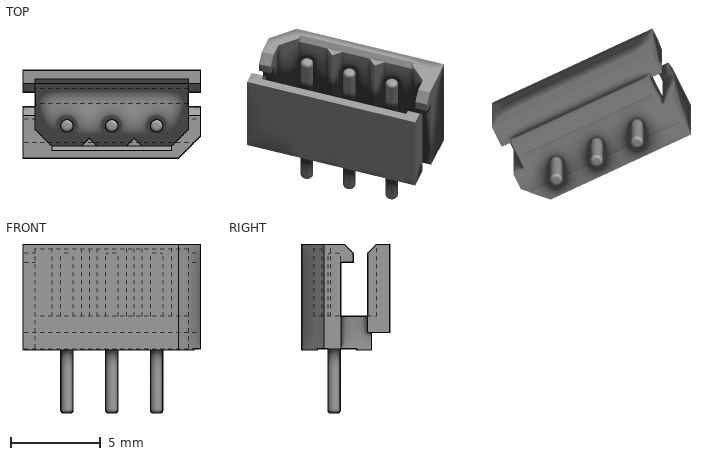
import cadquery as cq

width = 9.9
depth = 4.9
height = 5.89
corner_chamfer = 1.24

side_wall = 0.69
front_wall = 0.68
back_wall = 0.73
floor_height = 1.9
cavity_chamfer = 0.92
lead_in = 0.26

slot_front = 2.18
hook_end = 2.87
hook_height = 1.0
arm_depth = 1.23
slot_chamfer = 0.495
slot_back = depth - arm_depth

back_step_depth = 1.01
back_step_height = 0.98
channel_front = 0.87
channel_back = 3.05
channel_height = 0.08

pin_count = 3
pin_pitch = 2.49
pin_diameter = 0.7
pin_y = 1.8
pin_bottom = -3.5
pin_top = 5.42
pin_rounding = 0.19
rib_projection = 0.44

cavity_back = depth - back_wall
cavity_right = width - side_wall
chamfer_end_x = side_wall + cavity_chamfer


def box(x0, x1, y0, y1, z0, z1):
    """Axis-aligned box between two opposite corners."""
    return cq.Workplane("XY").box(x1 - x0, y1 - y0, z1 - z0, centered=False).translate((x0, y0, z0))


def along_x(points, x0, x1):
    """Extrude a (y, z) outline from x0 to x1."""
    return cq.Workplane("YZ").workplane(offset=x0).polyline(points).close().extrude(x1 - x0)


def centered_positions(count):
    """X positions of a row at the pin pitch, centered on the housing."""
    return [width / 2 + (i - (count - 1) / 2) * pin_pitch for i in range(count)]


def make_block():
    """Solid housing with its front-right corner cut off."""
    outline = [
        (0, 0),
        (width - corner_chamfer, 0),
        (width, corner_chamfer),
        (width, depth),
        (0, depth),
    ]
    return cq.Workplane("XY").polyline(outline).close().extrude(height)


def make_cavity():
    """Open-topped cavity with angled front corners and lead-in bevels front and back."""
    outline = [
        (side_wall, cavity_back),
        (side_wall, front_wall + cavity_chamfer),
        (chamfer_end_x, front_wall),
        (width - chamfer_end_x, front_wall),
        (cavity_right, front_wall + cavity_chamfer),
        (cavity_right, cavity_back),
    ]
    cavity = (
        cq.Workplane("XY").workplane(offset=floor_height)
        .polyline(outline).close().extrude(height - floor_height)
    )
    bevel_bottom = height - lead_in
    front_bevel = [(front_wall, bevel_bottom), (front_wall, height), (front_wall - lead_in, height)]
    back_bevel = [(cavity_back, bevel_bottom), (cavity_back, height), (cavity_back + lead_in, height)]
    cavity = cavity.union(along_x(front_bevel, chamfer_end_x, width - chamfer_end_x))
    return cavity.union(along_x(back_bevel, side_wall, cavity_right))


def make_side_slot(x0):
    """Cut through one side wall that leaves a front hook and a back arm."""
    hook_bottom = height - hook_height
    outline = [
        (slot_front, 0),
        (slot_front, hook_bottom),
        (hook_end, hook_bottom),
        (hook_end, height - slot_chamfer),
        (hook_end - slot_chamfer, height),
        (slot_back + slot_chamfer, height),
        (slot_back, height - slot_chamfer),
        (slot_back, 0),
    ]
    return along_x(outline, x0, x0 + side_wall)


def make_rib(x):
    """Triangular rib on the cavity's front wall, ending below the lead-in bevel."""
    outline = [
        (x - rib_projection, front_wall),
        (x, front_wall + rib_projection),
        (x + rib_projection, front_wall),
    ]
    rib_height = height - lead_in - floor_height
    return cq.Workplane("XY").workplane(offset=floor_height).polyline(outline).close().extrude(rib_height)


def make_pin(x):
    """Round pin with rounded ends."""
    return (
        cq.Workplane("XY", origin=(x, pin_y, pin_bottom))
        .circle(pin_diameter / 2).extrude(pin_top - pin_bottom)
        .edges().fillet(pin_rounding)
    )


result = make_block().cut(make_cavity())
for slot_x in (0, cavity_right):
    result = result.cut(make_side_slot(slot_x))

result = result.cut(box(0, width, depth - back_step_depth, depth, 0, back_step_height))
for arm_x in (0, cavity_right):
    result = result.cut(box(arm_x, arm_x + side_wall, slot_back, depth, 0, back_step_height))

result = result.cut(box(0, width, channel_front, channel_back, 0, channel_height))

for rib_x in centered_positions(pin_count - 1):
    result = result.union(make_rib(rib_x))
for pin_x in centered_positions(pin_count):
    result = result.union(make_pin(pin_x))